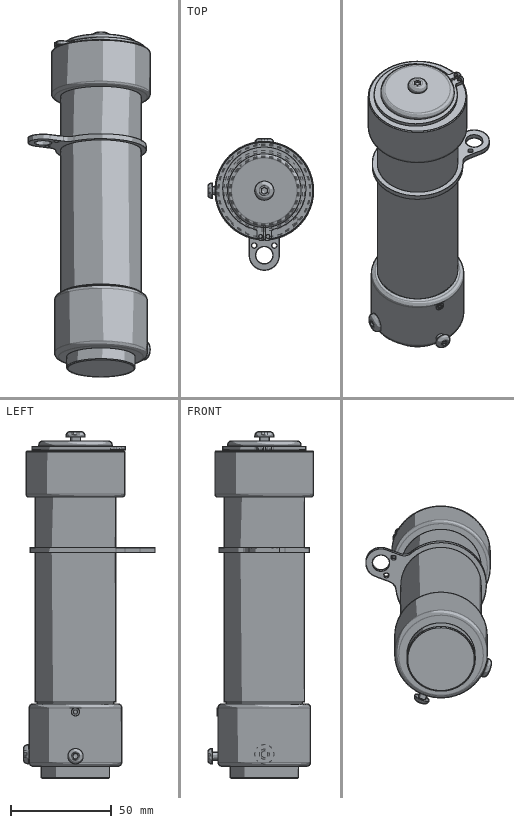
import cadquery as cq
import math

collar_bottom = 6.0
collar_top = 37.0
body_bottom = 38.0
flange_bottom = 112.0
flange_thickness = 2.5
cap_bottom = 139.5
cap_top = 162.5
clip_bottom = 163.0
clip_thickness = 1.75
disc_bottom = 164.9
disc_top = 167.4
total_height = 172.1

spigot_diameter = 34.0
collar_diameter = 46.0
groove_diameter = 38.0
body_diameter = 40.0
cap_diameter = 49.0
plug_diameter = 34.6
disc_diameter = 36.5

spigot_chamfer = 0.5
collar_fillet = 2.0
cap_bottom_fillet = 1.5
cap_top_chamfer = 0.5
disc_fillet = 2.0

slot_angle = -45.0
slot_width = 4.0
slot_depth = 0.3
slot_inner_radius = 20.6

flange_diameter = 45.0
lug_width = 15.0
lug_center_y = -32.0
lug_hole_diameter = 8.5
lug_blend_radius = 5.0
small_hole_diameter = 2.5
small_hole_x = 5.0
small_hole_y = -27.2

clip_outer_radius = 20.65
clip_center_y = 1.0
clip_gap = 1.0
ear_half_width = 3.6
ear_end_y = -24.8
ear_corner_radius = 2.0
ear_root_radius = 1.2
ear_hole_diameter = 1.93
ear_hole_x = 1.8
ear_hole_y = -22.7

M4_SCREW = dict(shank=4.0, head=7.6, height=2.2, socket=2.5)
M5_SCREW = dict(shank=5.0, head=9.5, height=2.75, socket=3.0)
socket_depth_share = 0.5
socket_tip_share = 0.15
side_screw_reach = 28.01
side_screw_z = 11.0
back_screw_reach = 25.85
back_screw_z = 12.0
set_screw_diameter = 4.0
set_screw_reach = 23.4
set_screw_z = 33.0
set_screw_socket = 2.0
set_screw_socket_depth = 1.0
screw_root_radius = 10.0


def cylinder(diameter, bottom, top):
    return cq.Workplane("XY").workplane(offset=bottom).circle(diameter / 2).extrude(top - bottom)


def hexagon_socket(across_flats, depth, top):
    """Cutter for a hexagon socket with corners toward +Y and -Y and a conical bottom."""
    bottom = top - depth
    tip_depth = across_flats * socket_tip_share
    hexagon = (
        cq.Workplane("XY")
        .workplane(offset=bottom)
        .polygon(6, across_flats / math.cos(math.pi / 6))
        .extrude(depth)
        .rotate((0, 0, 0), (0, 0, 1), 90)
    )
    tip = cq.Workplane(cq.Solid.makeCone(0, across_flats / 2, tip_depth)).translate((0, 0, bottom - tip_depth))
    return hexagon.union(tip)


def button_screw(size, length):
    """Screw standing on Z, shank start at 0 and head top at the given length."""
    shank_radius = size["shank"] / 2
    head_radius = size["head"] / 2
    dome_radius = head_radius - shank_radius
    dome_mid = dome_radius * math.sqrt(0.5)
    head_base = length - size["height"]
    dome_base = length - dome_radius
    screw = (
        cq.Workplane("XZ")
        .lineTo(shank_radius, 0)
        .lineTo(shank_radius, head_base)
        .lineTo(head_radius, head_base)
        .lineTo(head_radius, dome_base)
        .threePointArc((shank_radius + dome_mid, dome_base + dome_mid), (shank_radius, length))
        .lineTo(0, length)
        .close()
        .revolve(360, (0, 0, 0), (0, 1, 0))
    )
    socket_depth = size["height"] * socket_depth_share
    return screw.cut(hexagon_socket(size["socket"], socket_depth, length))


def set_screw(length):
    """Headless screw standing on Z with a hexagon socket in its top end."""
    screw = cylinder(set_screw_diameter, 0, length)
    return screw.cut(hexagon_socket(set_screw_socket, set_screw_socket_depth, length))


def point_to_minus_x(screw, z):
    return screw.rotate((0, 0, 0), (0, 1, 0), -90).translate((-screw_root_radius, 0, z))


def point_to_plus_y(screw, z):
    return screw.rotate((0, 0, 0), (1, 0, 0), -90).translate((0, screw_root_radius, z))


def make_collar():
    collar = cylinder(collar_diameter, collar_bottom, collar_top).edges("%CIRCLE").fillet(collar_fillet)
    slot_length = collar_diameter / 2
    slot = (
        cq.Workplane("XY")
        .box(slot_length, slot_width, slot_depth, centered=(False, True, False))
        .translate((slot_inner_radius, 0, collar_top - slot_depth))
        .rotate((0, 0, 0), (0, 0, 1), slot_angle)
    )
    return collar.cut(slot)


def make_tube():
    spigot = cylinder(spigot_diameter, 0, collar_bottom).faces("<Z").chamfer(spigot_chamfer)
    groove = cylinder(groove_diameter, collar_top, body_bottom)
    body = cylinder(body_diameter, body_bottom, cap_bottom)
    return spigot.union(make_collar()).union(groove).union(body)


def make_flange():
    flange_radius = flange_diameter / 2
    lug_radius = lug_width / 2
    blend_center_x = lug_radius + lug_blend_radius
    center_distance = flange_radius + lug_blend_radius
    blend_center_y = -math.sqrt(center_distance**2 - blend_center_x**2)
    touch_x = blend_center_x * flange_radius / center_distance
    touch_y = blend_center_y * flange_radius / center_distance
    middle_angle = (math.atan2(touch_y - blend_center_y, touch_x - blend_center_x) + math.pi) / 2
    middle_x = blend_center_x + lug_blend_radius * math.cos(middle_angle)
    middle_y = blend_center_y + lug_blend_radius * math.sin(middle_angle)
    outline = (
        cq.Workplane("XY")
        .workplane(offset=flange_bottom)
        .moveTo(touch_x, touch_y)
        .threePointArc((0, flange_radius), (-touch_x, touch_y))
        .threePointArc((-middle_x, middle_y), (-lug_radius, blend_center_y))
        .lineTo(-lug_radius, lug_center_y)
        .threePointArc((0, lug_center_y - lug_radius), (lug_radius, lug_center_y))
        .lineTo(lug_radius, blend_center_y)
        .threePointArc((middle_x, middle_y), (touch_x, touch_y))
        .close()
        .extrude(flange_thickness)
    )
    holes = (
        cq.Workplane("XY")
        .workplane(offset=flange_bottom)
        .pushPoints([(-small_hole_x, small_hole_y), (small_hole_x, small_hole_y)])
        .circle(small_hole_diameter / 2)
        .extrude(flange_thickness)
    )
    eye = cylinder(lug_hole_diameter, flange_bottom, flange_bottom + flange_thickness)
    return outline.cut(holes).cut(eye.translate((0, lug_center_y, 0)))


def make_cap():
    cap = cylinder(cap_diameter, cap_bottom, cap_top)
    return cap.faces("<Z").edges().fillet(cap_bottom_fillet).faces(">Z").edges().chamfer(cap_top_chamfer)


def make_clip():
    clip_plane = cq.Workplane("XY").workplane(offset=clip_bottom)
    ring = clip_plane.center(0, clip_center_y).circle(clip_outer_radius).extrude(clip_thickness)
    ears = (
        clip_plane.moveTo(-ear_half_width, 0)
        .lineTo(ear_half_width, 0)
        .lineTo(ear_half_width, ear_end_y)
        .lineTo(-ear_half_width, ear_end_y)
        .close()
        .extrude(clip_thickness)
        .edges("|Z and <Y")
        .fillet(ear_corner_radius)
    )
    gap = clip_plane.center(0, ear_end_y / 2).rect(clip_gap, -ear_end_y).extrude(clip_thickness)
    ear_holes = (
        clip_plane.pushPoints([(-ear_hole_x, ear_hole_y), (ear_hole_x, ear_hole_y)])
        .circle(ear_hole_diameter / 2)
        .extrude(clip_thickness)
    )
    root_corners = cq.selectors.BoxSelector(
        (-clip_outer_radius, -clip_outer_radius, clip_bottom),
        (clip_outer_radius, 0, clip_bottom + clip_thickness),
    )
    clip = ring.union(ears).edges("|Z").edges(root_corners).fillet(ear_root_radius)
    return clip.cut(gap).cut(ear_holes)


def make_top_disc():
    plug = cylinder(plug_diameter, cap_top, disc_bottom)
    disc = cylinder(disc_diameter, disc_bottom, disc_top).faces(">Z").edges().fillet(disc_fillet)
    return plug.union(disc)


result = make_tube().union(make_flange()).union(make_cap()).union(make_clip()).union(make_top_disc())

top_screw = button_screw(M5_SCREW, total_height - disc_bottom).translate((0, 0, disc_bottom))
side_screw = point_to_minus_x(button_screw(M4_SCREW, side_screw_reach - screw_root_radius), side_screw_z)
back_screw = point_to_plus_y(button_screw(M5_SCREW, back_screw_reach - screw_root_radius), back_screw_z)
locking_screw = point_to_minus_x(set_screw(set_screw_reach - screw_root_radius), set_screw_z)
for screw in (top_screw, side_screw, back_screw, locking_screw):
    result = result.union(screw)